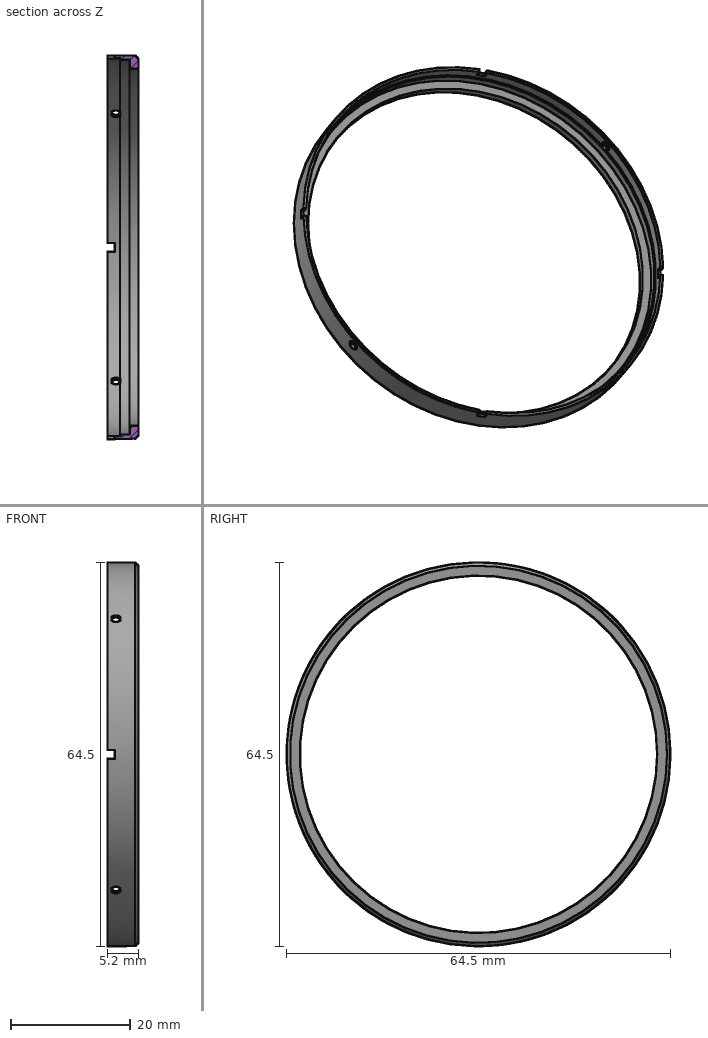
import cadquery as cq

outer_diameter = 64.5
width = 5.2
rim_wall = 0.5
middle_wall = 0.8
lip_wall = 2.25
step_depth = 2.1
lip_thickness = 1.5
edge_chamfer = 0.6
notch_width = 1.4
notch_depth = 1.2
hole_diameter = 1.55
hole_from_rim = 1.4
first_hole_angle = 45.0
repeat_count = 4

outer_radius = outer_diameter / 2
rim_x = -width / 2
back_x = width / 2
lip_x = back_x - lip_thickness
repeat_angle = 360.0 / repeat_count
cutter_start = outer_radius - 2 * lip_wall
cutter_length = 4 * lip_wall


def make_ring():
    """Revolve the stepped wall section around the X axis."""
    rim_radius = outer_radius - rim_wall
    middle_radius = outer_radius - middle_wall
    lip_radius = outer_radius - lip_wall
    section = [
        (rim_x, outer_radius),
        (back_x - edge_chamfer, outer_radius),
        (back_x, outer_radius - edge_chamfer),
        (back_x, lip_radius),
        (lip_x, lip_radius),
        (lip_x, middle_radius),
        (rim_x + step_depth, middle_radius),
        (rim_x + step_depth, rim_radius),
        (rim_x, rim_radius),
    ]
    return cq.Workplane("XY").polyline(section).close().revolve(360, (0, 0, 0), (1, 0, 0))


def make_notch():
    """Square cutter for the rim notch at the top of the ring."""
    notch = cq.Workplane("XY").box(2 * notch_depth, notch_width, cutter_length)
    return notch.translate((rim_x, 0, outer_radius))


def make_hole():
    """Radial drill through the wall at the top of the ring."""
    start = cq.Workplane("XY", origin=(rim_x + hole_from_rim, 0, cutter_start))
    return start.circle(hole_diameter / 2).extrude(cutter_length)


def rotate_about_axis(cutter, angle):
    return cutter.rotate((0, 0, 0), (1, 0, 0), angle)


result = make_ring()
for index in range(repeat_count):
    angle = index * repeat_angle
    result = result.cut(rotate_about_axis(make_notch(), angle))
    result = result.cut(rotate_about_axis(make_hole(), first_hole_angle + angle))